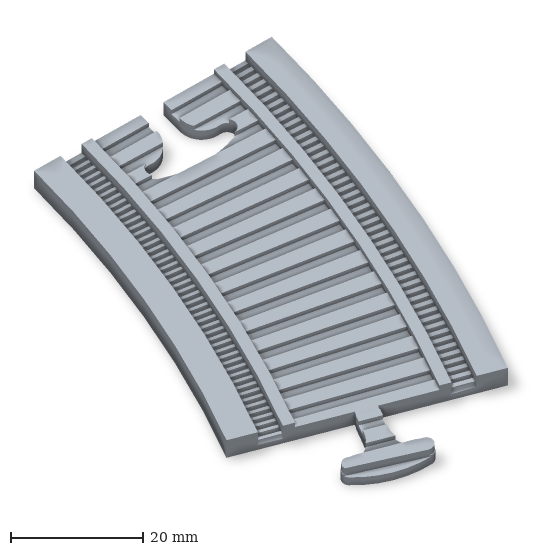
import cadquery as cq
import math

outer_radius = 245.0
track_width = 45.0
sweep_angle = 18.0
track_height = 4.0
inner_radius = outer_radius - track_width
centre_radius = outer_radius - track_width / 2
connector_end_x = -0.8

shoulder_width = 5.0
wheel_groove_width = 4.0
rail_width = 1.95
wheel_groove_floor = 2.0
tie_top = 3.0
tie_gap_floor = 2.1
bed_width = track_width - 2 * (shoulder_width + wheel_groove_width + rail_width)

cross_line_shift = 2.7
gap_count = 15
gap_first_angle = 1.65
gap_pitch = 1.162
gap_width = 2.0
flute_count = 48
flute_first_angle = 0.92
flute_pitch = 0.3713
flute_half_width = 0.4
flute_depth = 1.0

neck_half_width = 1.95
first_notch_start = 1.3
ridge_start = 3.2
ridge_end = 5.8
head_back = 7.9
lip_start = 10.3
head_tip = 11.73
neck_length = 4.0
head_shoulder_y = 6.2
head_crown_x = 9.3
head_half_width = 7.5
head_corner_x = 10.5
head_corner_y = 6.7
head_top = 3.5
head_inset = 0.1
lip_top = 1.8
lip_tilt = 2.3
connector_lift = 0.05
bridge_width = 3.7

socket_neck_half_width = 2.15
socket_neck_length = 4.2
socket_shoulder = (8.2, 6.7)
socket_crown = (9.9, 8.4)
socket_corner = (11.3, 7.2)
socket_depth = 12.7

joint_shift = -0.15

above = 1.0


def ring_sector(radius_in, radius_out, bottom, top):
    """Curved band between two radii, over the full sweep of the track."""
    angle = math.radians(sweep_angle)

    def on_curve(radius, turn):
        return (-radius * math.sin(turn), radius * math.cos(turn) - centre_radius)

    return (
        cq.Workplane("XY")
        .workplane(offset=bottom)
        .moveTo(*on_curve(radius_in, 0))
        .lineTo(*on_curve(radius_out, 0))
        .threePointArc(on_curve(radius_out, angle / 2), on_curve(radius_out, angle))
        .lineTo(*on_curve(radius_in, angle))
        .threePointArc(on_curve(radius_in, angle / 2), on_curve(radius_in, 0))
        .close()
        .extrude(top - bottom)
    )


def turn_along_track(shape, angle):
    """Move a shape round the curve from its +X end."""
    return shape.rotate((0, -centre_radius, 0), (0, -centre_radius, 1), angle)


def mushroom(root, neck_half, neck_end, shoulder, crown, corner, tip, height):
    """Plate with a straight neck along +X that flares, tangentially, into a lens-shaped head."""
    flare_x = shoulder[0] - neck_end
    flare_y = shoulder[1] - neck_half
    flare_radius = (flare_x**2 + flare_y**2) / (2 * flare_y)
    half_turn = math.atan2(flare_y, flare_x)
    flank = (
        neck_end + flare_radius * math.sin(half_turn),
        neck_half + flare_radius * (1 - math.cos(half_turn)),
    )

    def mirrored(point):
        return (point[0], -point[1])

    return (
        cq.Workplane("XY")
        .moveTo(root, neck_half)
        .lineTo(neck_end, neck_half)
        .threePointArc(flank, shoulder)
        .threePointArc(crown, corner)
        .threePointArc((tip, 0), mirrored(corner))
        .threePointArc(mirrored(crown), mirrored(shoulder))
        .threePointArc(mirrored(flank), (neck_end, -neck_half))
        .lineTo(root, -neck_half)
        .close()
        .extrude(height)
    )


def block(start_x, end_x, width, bottom, top):
    """Box centred on Y."""
    return (
        cq.Workplane("XY")
        .box(end_x - start_x, width, top - bottom, centered=(False, True, False))
        .translate((start_x, 0, bottom))
    )


def wheel_groove(radius_in):
    """Wheel groove and the elliptical flutes across its floor."""
    radius_out = radius_in + wheel_groove_width
    groove = ring_sector(radius_in, radius_out, wheel_groove_floor, track_height + above)
    flute = (
        cq.Workplane("XZ")
        .center(cross_line_shift, wheel_groove_floor)
        .ellipse(flute_half_width, flute_depth)
        .extrude(-track_width)
        .translate((0, radius_in - track_width / 2 - centre_radius, 0))
    )
    band = ring_sector(radius_in, radius_out, wheel_groove_floor - flute_depth - above, track_height)
    angles = [flute_first_angle + i * flute_pitch for i in range(flute_count)]
    flutes = cq.Workplane("XY").newObject([turn_along_track(flute, a).val() for a in angles])
    return groove, flutes.combine().intersect(band)


def tie_gaps(bed):
    """Gaps between the ties, trimmed to the bed between the rails."""
    half_gap = gap_width / 2
    gap = block(cross_line_shift - half_gap, cross_line_shift + half_gap,
                track_width, tie_gap_floor, track_height)
    angles = [gap_first_angle + i * gap_pitch for i in range(gap_count)]
    gaps = cq.Workplane("XY").newObject([turn_along_track(gap, a).val() for a in angles])
    return gaps.combine().intersect(bed)


def socket():
    """Opening for the next section's connector, cut through the -X end."""
    opening = mushroom(
        root=-above, neck_half=socket_neck_half_width, neck_end=socket_neck_length,
        shoulder=socket_shoulder, crown=socket_crown, corner=socket_corner,
        tip=socket_depth, height=track_height,
    )
    return turn_along_track(opening.translate((0, joint_shift, 0)), sweep_angle)


def connector_plate(inset, height):
    """Plate in the outline of the mushroom connector, drawn in by an inset."""
    return mushroom(
        root=0, neck_half=neck_half_width - inset, neck_end=neck_length,
        shoulder=(head_back + inset, head_shoulder_y),
        crown=(head_crown_x, head_half_width - inset),
        corner=(head_corner_x - inset, head_corner_y - inset),
        tip=head_tip - inset, height=height,
    )


def connector():
    """Mushroom connector: notched neck, raised head and a lower lip at the front."""
    width = track_width
    neck = connector_plate(0, tie_top)
    neck = neck.cut(block(first_notch_start, ridge_start, width, tie_gap_floor, track_height))
    neck = neck.cut(block(ridge_end, head_tip, width, tie_gap_floor, track_height))
    head = connector_plate(head_inset, head_top)
    head = head.cut(block(0, head_back, width, 0, track_height))
    body = neck.union(head)
    lip_cutter = block(0, head_back, width, lip_top, track_height)
    lip_cutter = lip_cutter.rotate((0, 0, 0), (0, 0, 1), -lip_tilt).translate((lip_start, 0, 0))
    body = body.cut(lip_cutter).translate((0, joint_shift, connector_lift))
    bridge = block(connector_end_x - above, 0, bridge_width, 0, tie_top).translate((0, joint_shift, 0))
    return body.union(bridge)


bed_inner = centre_radius - bed_width / 2
bed_outer = centre_radius + bed_width / 2
track = ring_sector(inner_radius, outer_radius, 0, track_height)
track = track.cut(ring_sector(bed_inner, bed_outer, tie_top, track_height + above))
track = track.cut(tie_gaps(ring_sector(bed_inner, bed_outer, tie_gap_floor, track_height)))
for groove_inner in (inner_radius + shoulder_width, outer_radius - shoulder_width - wheel_groove_width):
    groove, flutes = wheel_groove(groove_inner)
    track = track.cut(groove).cut(flutes)
track = track.cut(socket())
track = track.cut(block(connector_end_x, -connector_end_x, 2 * track_width, -above, track_height + above))

result = track.union(connector())